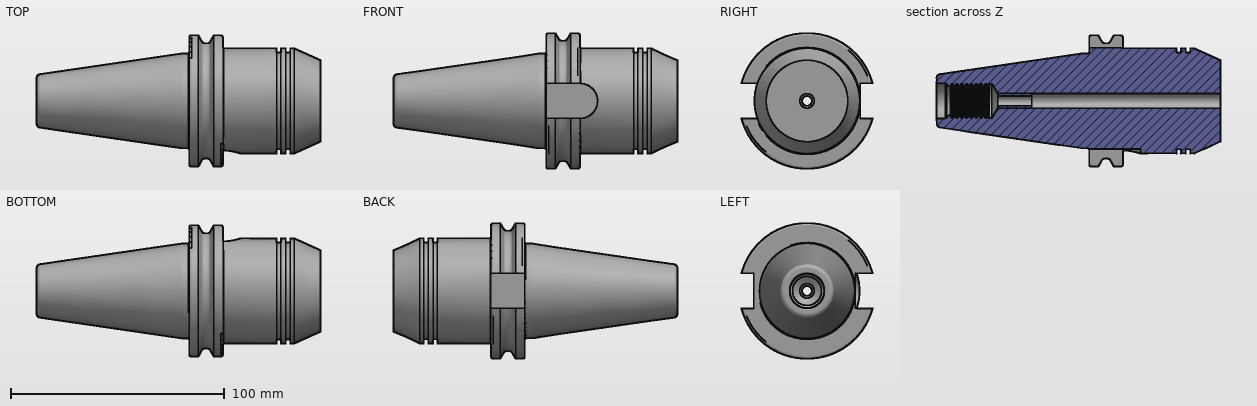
import cadquery as cq
import math

total_length = 132.8

taper_length = 68.1
taper_large_radius = 44.5 / 2
taper_slope = 7 / 48
taper_small_radius = taper_large_radius - taper_length * taper_slope
tip_fillet = 2.0

flange_start = 71.3
flange_width = 15.9
flange_end = flange_start + flange_width
flange_radius = 63.6 / 2
flange_edge_fillet = 1.2
flange_root_fillet = 0.4
v_groove_centre = 79.3
v_groove_depth = 3.6
v_groove_mouth_width = 7.2
v_groove_half_angle = math.radians(30)
v_groove_floor_width = v_groove_mouth_width - 2 * v_groove_depth * math.tan(v_groove_half_angle)
v_groove_root_fillet = 1.3

slot_width = 16.3
front_slot_floor = 22.6
back_slot_floor = 25.0

body_radius = 49.3 / 2
ring_groove_start = 112.2
ring_groove_width = 2.0
ring_groove_pitch = 4.4
ring_groove_count = 2
ring_groove_radius = 45.4 / 2
nose_cone_start = 120.4
nose_end_radius = 38.1 / 2

mouth_radius = 18.0 / 2
pilot_radius = 16.3 / 2
mouth_round = mouth_radius - pilot_radius
pilot_depth = 4.1
relief_end = 4.8
thread_major_radius = 15.9 / 2
thread_minor_radius = 13.5 / 2
thread_entry_round = thread_major_radius - thread_minor_radius
thread_pitch = 2.3
thread_crest_width = 0.5
thread_root_width = 0.4
thread_groove_count = 8
thread_run_out = 1.3
drill_half_angle = math.radians(59)
screw_bore_radius = 6.8 / 2

screw_length = 15.9
screw_hole_radius = 4.5 / 2

first_thread_groove = relief_end + thread_entry_round + thread_crest_width
thread_end = first_thread_groove + thread_groove_count * thread_pitch
run_out_end = thread_end + thread_run_out
screw_start = run_out_end + (thread_major_radius - screw_bore_radius) / math.tan(drill_half_angle)


def revolve_about_x(profile):
    """Turn a closed profile of (X, radius) around the X axis."""
    return profile.close().revolve(360, (0, 0, 0), (1, 0, 0))


def rod(start, length, radius):
    """Solid cylinder along X."""
    return cq.Workplane("YZ", origin=(start, 0, 0)).circle(radius).extrude(length)


def taper_shank():
    """Taper with a rounded tip and a short cylinder that reaches the flange."""
    profile = (
        cq.Workplane("XY")
        .lineTo(0, taper_small_radius)
        .lineTo(taper_length, taper_large_radius)
        .lineTo(flange_start, taper_large_radius)
        .lineTo(flange_start, 0)
    )
    return revolve_about_x(profile).faces("<X").edges().fillet(tip_fillet)


def flange():
    """Disc with rounded outer edges and the V-groove in its rim."""
    disc = rod(flange_start, flange_width, flange_radius)
    disc = disc.faces("<X or >X").edges().fillet(flange_edge_fillet)
    return disc.cut(v_groove())


def v_groove():
    """Ring cutter with sloping walls that run on to twice the groove depth."""
    floor_radius = flange_radius - v_groove_depth
    clear_radius = flange_radius + v_groove_depth
    clear_width = v_groove_floor_width + 4 * v_groove_depth * math.tan(v_groove_half_angle)
    profile = (
        cq.Workplane("XY")
        .moveTo(v_groove_centre - v_groove_floor_width / 2, floor_radius)
        .lineTo(v_groove_centre + v_groove_floor_width / 2, floor_radius)
        .lineTo(v_groove_centre + clear_width / 2, clear_radius)
        .lineTo(v_groove_centre - clear_width / 2, clear_radius)
    )
    ring = revolve_about_x(profile)
    floor_edges = cq.selectors.RadiusNthSelector(0)
    return ring.edges(floor_edges).fillet(v_groove_root_fillet)


def root_fillet(face_x, direction, radius):
    """Concave ring fillet where a cylinder of this radius meets a flange face."""
    size = flange_root_fillet
    bend = size * (1 - math.sqrt(0.5))
    profile = (
        cq.Workplane("XY")
        .moveTo(face_x, 0)
        .lineTo(face_x, radius + size)
        .threePointArc(
            (face_x + direction * bend, radius + bend),
            (face_x + direction * size, radius),
        )
        .lineTo(face_x + direction * size, 0)
    )
    return revolve_about_x(profile)


def body_and_nose():
    """Cylinder with its two square ring grooves, ending in a cone."""
    profile = (
        cq.Workplane("XY")
        .moveTo(flange_end, 0)
        .lineTo(flange_end, body_radius)
        .lineTo(nose_cone_start, body_radius)
        .lineTo(total_length, nose_end_radius)
        .lineTo(total_length, 0)
    )
    body = revolve_about_x(profile)
    for index in range(ring_groove_count):
        start = ring_groove_start + index * ring_groove_pitch
        groove = rod(start, ring_groove_width, 2 * body_radius)
        body = body.cut(groove.cut(rod(start, ring_groove_width, ring_groove_radius)))
    return body


def drive_slot(floor, side):
    """Round-ended slot; side is -1 for the -Y slot and +1 for the +Y slot."""
    start = flange_start - flange_root_fillet
    straight = flange_end - start
    height = flange_radius
    middle_y = side * (floor + height / 2)
    straight_part = cq.Workplane("XY").box(straight, height, slot_width).translate(
        (start + straight / 2, middle_y, 0)
    )
    round_end = (
        cq.Workplane("XZ", origin=(flange_end, middle_y, 0))
        .circle(slot_width / 2)
        .extrude(height / 2, both=True)
    )
    return straight_part.union(round_end)


def stepped_bore():
    """Axial bore: rounded mouth, pilot, relief, thread core, run-out, drill cone, screw bore."""
    round_share = 1 - math.sqrt(0.5)
    mouth_bend = mouth_round * round_share
    entry_bend = thread_entry_round * round_share
    entry_end = relief_end + thread_entry_round
    profile = (
        cq.Workplane("XY")
        .lineTo(0, mouth_radius)
        .threePointArc((mouth_bend, pilot_radius + mouth_bend), (mouth_round, pilot_radius))
        .lineTo(pilot_depth, pilot_radius)
        .lineTo(pilot_depth, thread_major_radius)
        .lineTo(relief_end, thread_major_radius)
        .threePointArc(
            (entry_end - thread_entry_round * math.sqrt(0.5), thread_minor_radius + entry_bend),
            (entry_end, thread_minor_radius),
        )
        .lineTo(thread_end, thread_minor_radius)
        .lineTo(thread_end, thread_major_radius)
        .lineTo(run_out_end, thread_major_radius)
        .lineTo(screw_start, screw_bore_radius)
        .lineTo(total_length, screw_bore_radius)
        .lineTo(total_length, 0)
    )
    return revolve_about_x(profile)


def thread_groove(start):
    """One ring-shaped thread groove between two crests."""
    mouth_width = thread_pitch - thread_crest_width
    flank_width = (mouth_width - thread_root_width) / 2
    profile = (
        cq.Workplane("XY")
        .moveTo(start, 0)
        .lineTo(start, thread_minor_radius)
        .lineTo(start + flank_width, thread_major_radius)
        .lineTo(start + flank_width + thread_root_width, thread_major_radius)
        .lineTo(start + mouth_width, thread_minor_radius)
        .lineTo(start + mouth_width, 0)
    )
    return revolve_about_x(profile)


def make_housing():
    housing = taper_shank().union(flange()).union(body_and_nose())
    housing = housing.union(root_fillet(flange_start, -1, taper_large_radius))
    housing = housing.union(root_fillet(flange_end, 1, body_radius))
    housing = housing.cut(drive_slot(front_slot_floor, -1))
    housing = housing.cut(drive_slot(back_slot_floor, 1))
    housing = housing.cut(stepped_bore())
    for index in range(thread_groove_count):
        housing = housing.cut(thread_groove(first_thread_groove + index * thread_pitch))
    return housing


def make_hollow_screw():
    screw = rod(screw_start, screw_length, screw_bore_radius)
    return screw.cut(rod(screw_start, screw_length, screw_hole_radius))


housing = make_housing()
hollow_screw = make_hollow_screw()

result = cq.Compound.makeCompound([housing.val(), hollow_screw.val()])